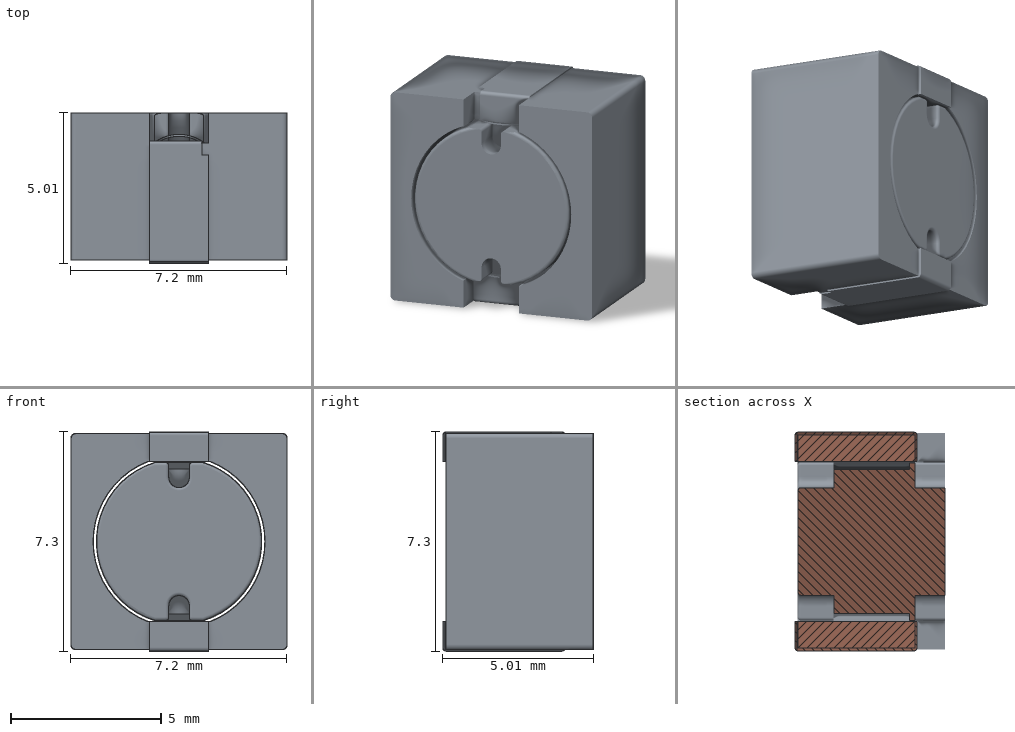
import cadquery as cq

SIDE = 7.2
DEPTH = 4.905
CORNER_RADIUS = 0.17
BORE_RADIUS = 2.855
BORE_FLAT_Z = 2.66
SLOT_DEPTH = 1.0

TERMINAL_WIDTH = 1.97
SHEET_THICKNESS = 0.1
PAD_LINER = 0.04
TERMINAL_TOP_Z = 3.65
PAD_BOTTOM_Z = BORE_FLAT_Z
LEG_THICKNESS = 0.065
BEND_RADIUS = 0.125
RELIEF_WIDTH = 0.225
RELIEF_LENGTH = 0.4

CORE_RADIUS = 2.75
CORE_FLAT_Z = 2.63
CORE_EDGE_RADIUS = 0.1
FLANGE_THICKNESS = 1.2
POST_INSET = 0.22
NOTCH_WIDTH = 0.685
NOTCH_BOTTOM_Z = 1.795
NOTCH_EDGE_RADIUS = 0.095
REAR_NOTCH_DEPTH = SLOT_DEPTH

WIRE_ARC_RADIUS = 1.39
WIRE_WIDTH = 0.065
WIRE_REAR_GAP = 0.715

FRONT_Y = -DEPTH / 2
REAR_Y = DEPTH / 2
TOP_Z = SIDE / 2
WEB_REAR_Y = REAR_Y - SLOT_DEPTH
RECESS_FLOOR_Z = TERMINAL_TOP_Z - SHEET_THICKNESS
SIDE_ANGLES = (0, 180)


def block(x_range, y_range, z_range):
    """Box given by its limits along each axis."""
    size = [high - low for low, high in (x_range, y_range, z_range)]
    corner = cq.Vector(x_range[0], y_range[0], z_range[0])
    return cq.Workplane(cq.Solid.makeBox(*size, corner))


def cylinder(radius, y_start, y_end):
    """Cylinder on the coil axis between two Y positions."""
    return cq.Workplane("XZ", origin=(0, y_start, 0)).circle(radius).extrude(y_start - y_end)


def turned(body, angle):
    """Copy of a body turned about the coil axis."""
    return body.rotate((0, 0, 0), (0, 1, 0), angle)


def flattened_cylinder(radius, flat_z, y_start, y_end):
    """Cylinder on the coil axis with flats at the top and bottom."""
    slab = block((-radius, radius), (y_start, y_end), (-flat_z, flat_z))
    return cylinder(radius, y_start, y_end).intersect(slab)


def terminal_plan(z_range):
    """Terminal outline seen along Z: full width with a relief at one rear corner."""
    half = TERMINAL_WIDTH / 2
    plate = block((-half, half), (FRONT_Y, WEB_REAR_Y), z_range)
    relief = block((half - RELIEF_WIDTH, half), (WEB_REAR_Y - RELIEF_LENGTH, WEB_REAR_Y), z_range)
    return plate.cut(relief)


def make_housing():
    """Square block with a flattened bore, rear slots and shallow terminal recesses."""
    body = block((-SIDE / 2, SIDE / 2), (FRONT_Y, REAR_Y), (-TOP_Z, TOP_Z))
    body = body.edges("|Y").fillet(CORNER_RADIUS)
    body = body.cut(flattened_cylinder(BORE_RADIUS, BORE_FLAT_Z, FRONT_Y, REAR_Y))
    half = TERMINAL_WIDTH / 2
    slot = block((-half, half), (WEB_REAR_Y, REAR_Y), (0, TOP_Z))
    recess = terminal_plan((RECESS_FLOOR_Z, TOP_Z))
    for angle in SIDE_ANGLES:
        body = body.cut(turned(slot, angle)).cut(turned(recess, angle))
    return body


def make_strip():
    """Bent strip, terminal and pad together: front layer, plate over the housing, short rear leg."""
    half = TERMINAL_WIDTH / 2
    pad_front_y = FRONT_Y - SHEET_THICKNESS
    leg_rear_y = WEB_REAR_Y + LEG_THICKNESS
    leg_x_max = half - RELIEF_WIDTH
    plate = terminal_plan((RECESS_FLOOR_Z, TERMINAL_TOP_Z))
    pad = block((-half, half), (pad_front_y, FRONT_Y), (PAD_BOTTOM_Z, TERMINAL_TOP_Z))
    leg = block((-half, leg_x_max), (WEB_REAR_Y, leg_rear_y), (PAD_BOTTOM_Z, TERMINAL_TOP_Z))
    strip = plate.union(pad).union(leg)
    return strip.faces(">Z").edges("<Y or >Y").fillet(BEND_RADIUS)


def pad_space():
    """Space in front of the plane where pad and terminal meet."""
    half = TERMINAL_WIDTH / 2
    pad_y_range = (FRONT_Y - SHEET_THICKNESS, FRONT_Y - PAD_LINER)
    return block((-half, half), pad_y_range, (PAD_BOTTOM_Z, TERMINAL_TOP_Z))


def make_terminal(angle):
    """Strip without its front layer."""
    return turned(make_strip().cut(pad_space()), angle)


def make_pad(angle):
    """Front layer of the strip, the soldering face."""
    return turned(make_strip().intersect(pad_space()), angle)


def notch_cutter(y_start, y_end):
    """Lead notch with a round end, open at the top of the core."""
    half = NOTCH_WIDTH / 2
    center_z = NOTCH_BOTTOM_Z + half
    profile = (
        cq.Workplane("XZ", origin=(0, y_start, 0))
        .moveTo(-half, CORE_RADIUS)
        .lineTo(-half, center_z)
        .threePointArc((0, NOTCH_BOTTOM_Z), (half, center_z))
        .lineTo(half, CORE_RADIUS)
        .close()
    )
    return profile.extrude(y_start - y_end)


def cut_notches(flange, y_start, y_end):
    """Cut the top and bottom notches and round their long edges."""
    for angle in SIDE_ANGLES:
        flange = flange.cut(turned(notch_cutter(y_start, y_end), angle))
    half = NOTCH_WIDTH / 2 + NOTCH_EDGE_RADIUS / 2
    near_notch = cq.selectors.BoxSelector((-half, FRONT_Y, -CORE_RADIUS), (half, REAR_Y, CORE_RADIUS))
    for face in (">Z", "<Z"):
        flange = flange.faces(face).edges("|Y").edges(near_notch).fillet(NOTCH_EDGE_RADIUS)
    return flange


def make_front_flange(inner_y):
    """Flange with through notches, rounded all around its front face."""
    flange = flattened_cylinder(CORE_RADIUS, CORE_FLAT_Z, FRONT_Y, inner_y)
    flange = cut_notches(flange, FRONT_Y, inner_y)
    return flange.faces("<Y").edges().fillet(CORE_EDGE_RADIUS)


def make_rear_flange(inner_y):
    """Flange with a rounded rim, then sharp-ended flats and blind notches."""
    rim = cylinder(CORE_RADIUS, inner_y, REAR_Y).faces(">Y").edges().fillet(CORE_EDGE_RADIUS)
    flange = rim.intersect(
        block((-CORE_RADIUS, CORE_RADIUS), (inner_y, REAR_Y), (-CORE_FLAT_Z, CORE_FLAT_Z))
    )
    return cut_notches(flange, REAR_Y - REAR_NOTCH_DEPTH, REAR_Y)


def make_core():
    """Drum core: a post between two notched flanges."""
    post_start = FRONT_Y + FLANGE_THICKNESS
    post_end = REAR_Y - FLANGE_THICKNESS
    post = flattened_cylinder(CORE_RADIUS - POST_INSET, CORE_FLAT_Z - POST_INSET, post_start, post_end)
    return make_front_flange(post_start).union(post).union(make_rear_flange(post_end))


def make_wire(angle):
    """Thin arc lying on the core flat, in the housing slot and under the terminal leg."""
    center_y = REAR_Y - WIRE_REAR_GAP - WIRE_ARC_RADIUS
    z_range = (CORE_FLAT_Z, BORE_FLAT_Z)
    ring = (
        cq.Workplane("XY", origin=(0, center_y, CORE_FLAT_Z))
        .circle(WIRE_ARC_RADIUS)
        .circle(WIRE_ARC_RADIUS - WIRE_WIDTH)
        .extrude(BORE_FLAT_Z - CORE_FLAT_Z)
    )
    arc = ring.intersect(
        block((-WIRE_ARC_RADIUS, WIRE_ARC_RADIUS), (WEB_REAR_Y, REAR_Y), z_range)
    )
    return turned(arc, angle)


housing = make_housing()
core = make_core()
terminals = [make_terminal(angle) for angle in SIDE_ANGLES]
pads = [make_pad(angle) for angle in SIDE_ANGLES]
wires = [make_wire(angle) for angle in SIDE_ANGLES]

result = cq.Compound.makeCompound(
    [part.val() for part in (housing, core, *terminals, *pads, *wires)]
)